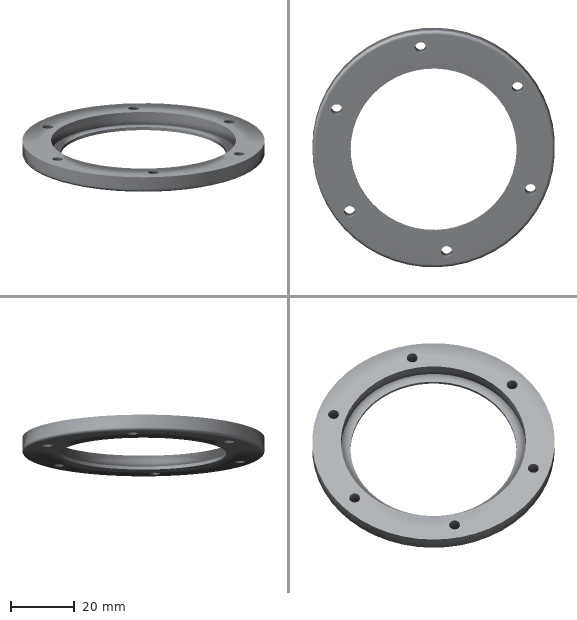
import cadquery as cq

outer_diameter = 76.0
thickness = 5.0
bottom_edge_radius = 1.0

bore_diameter = 52.0
recess_diameter = 58.0
lip_thickness = 1.0
recess_depth = thickness - lip_thickness

hole_count = 6
hole_diameter = 3.4
bolt_circle_radius = 33.0
first_hole_angle = 90


def ring_body():
    """Disc with a rounded bottom edge, standing on Z = 0."""
    disc = cq.Workplane("XY").circle(outer_diameter / 2).extrude(thickness)
    return disc.faces("<Z").edges().fillet(bottom_edge_radius)


def stepped_bore():
    """Through bore joined to the wider recess."""
    bore = cq.Workplane("XY").circle(bore_diameter / 2).extrude(thickness)
    recess = (
        cq.Workplane("XY")
        .workplane(offset=lip_thickness)
        .circle(recess_diameter / 2)
        .extrude(recess_depth)
    )
    return bore.union(recess)


def bolt_holes():
    """Evenly spaced through holes."""
    return (
        cq.Workplane("XY")
        .polarArray(bolt_circle_radius, first_hole_angle, 360, hole_count)
        .circle(hole_diameter / 2)
        .extrude(thickness)
    )


result = ring_body().cut(stepped_bore()).cut(bolt_holes())